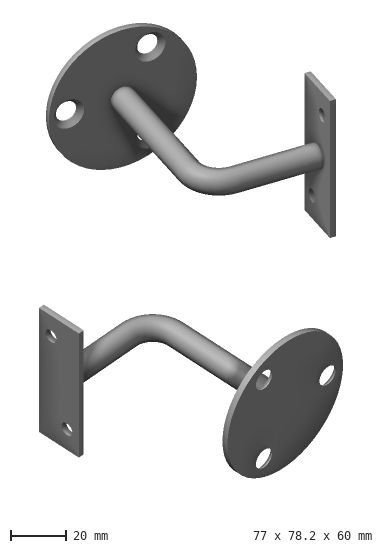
import cadquery as cq
import math

overall_x = 77.0
overall_y = 78.25
plate_thickness = 2.5

flange_diameter = 60.0
flange_hole_diameter = 8.4
flange_hole_count = 3
flange_hole_circle_radius = 22.0
countersink_angle = 90
countersink_land = 0.5

rail_plate_width = 20.0
rail_plate_height = flange_diameter
rail_hole_diameter = 5.5
rail_hole_offset_x = 4.0
rail_hole_offset_z = 20.0

rod_diameter = 10.0
bend_radius = 12.0

countersink_depth = plate_thickness - countersink_land
countersink_diameter = (
    flange_hole_diameter + 2 * countersink_depth * math.tan(math.radians(countersink_angle / 2))
)
rail_plate_center_x = overall_x - rail_plate_width / 2
rail_plate_outer_y = overall_y - flange_diameter / 2
rail_plate_inner_y = rail_plate_outer_y - plate_thickness


def make_flange():
    """Disc with equally spaced screw holes, countersunk on the +X face; the first one is on the -Y side."""
    return (
        cq.Workplane("YZ")
        .circle(flange_diameter / 2)
        .extrude(plate_thickness)
        .faces(">X")
        .workplane()
        .polarArray(flange_hole_circle_radius, 180, 360, flange_hole_count)
        .cskHole(flange_hole_diameter, countersink_diameter, countersink_angle)
    )


def make_rail_plate():
    """Upright plate with two screw holes placed diagonally about its centre."""
    hole_points = [(side * rail_hole_offset_x, side * rail_hole_offset_z) for side in (1, -1)]
    return (
        cq.Workplane("XZ", origin=(rail_plate_center_x, rail_plate_outer_y, 0))
        .rect(rail_plate_width, rail_plate_height)
        .pushPoints(hole_points)
        .circle(rail_hole_diameter / 2)
        .extrude(plate_thickness)
    )


def make_rod():
    """Round rod leaving the flange along X and bending to meet the plate along Y."""
    path = (
        cq.Workplane("XY")
        .moveTo(plate_thickness, 0)
        .lineTo(rail_plate_center_x - bend_radius, 0)
        .tangentArcPoint((rail_plate_center_x, bend_radius), relative=False)
        .lineTo(rail_plate_center_x, rail_plate_inner_y)
    )
    return (
        cq.Workplane("YZ", origin=(plate_thickness, 0, 0))
        .circle(rod_diameter / 2)
        .sweep(path)
    )


result = make_flange().union(make_rod()).union(make_rail_plate())